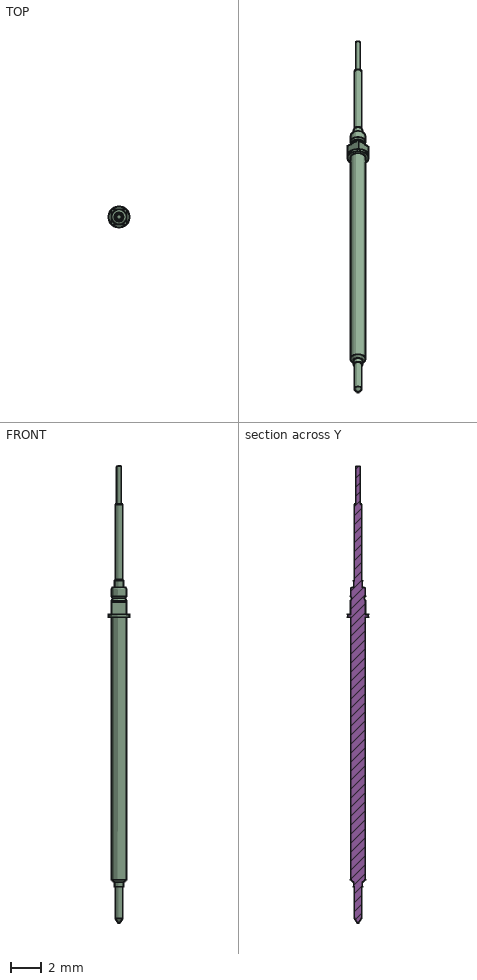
import cadquery as cq


tip_z = -20.2
barrel_end_z = -17.5
nose_end_z = -17.8
flange_top_z = 0.2
square_top_z = 1.0
groove_low_z = 1.1
groove_waist_z = 1.25
groove_high_z = 1.4
head_top_z = 2.0
collar_top_z = 2.5
rod_top_z = 7.5
pin_top_z = 10.0

tip_d = 0.1
plunger_d = 0.5
nose_d = 0.6
barrel_d = 1.0
flange_d = 1.4
groove_d = 0.85
collar_d = 0.6
rod_d = 0.5
pin_d = 0.33

square_side = barrel_d

tip_h = 0.3
barrel_chamfer = 0.17
head_round = 0.15
collar_chamfer_w = 0.05
collar_chamfer_h = 0.1
rod_chamfer = 0.05
pin_round = 0.1


def shaft(diameter, low, high):
    """Cylinder on the Z axis between two heights."""
    return cq.Workplane("XY").workplane(offset=low).circle(diameter / 2).extrude(high - low)


def plunger():
    """Contact plunger ending in a cone with a small flat."""
    shoulder_z = tip_z + tip_h
    cone = (
        cq.Workplane("XY").workplane(offset=tip_z).circle(tip_d / 2)
        .workplane(offset=tip_h).circle(plunger_d / 2).loft()
    )
    return cone.union(shaft(plunger_d, shoulder_z, nose_end_z))


def barrel():
    """Long barrel with a chamfered lower end and the nose below it."""
    tube = shaft(barrel_d, barrel_end_z, 0).faces("<Z").chamfer(barrel_chamfer)
    nose = shaft(nose_d, nose_end_z, barrel_end_z)
    return tube.union(nose)


def square_block():
    """Square block whose corners are trimmed to the flange diameter."""
    height = square_top_z - flange_top_z
    block = cq.Workplane("XY").workplane(offset=flange_top_z).rect(square_side, square_side).extrude(height)
    return block.intersect(shaft(flange_d, flange_top_z, square_top_z))


def crimped_head():
    """Round head with a V-shaped crimp groove and a rounded top."""
    head_r = barrel_d / 2
    profile = (
        cq.Workplane("XZ").moveTo(0, square_top_z)
        .lineTo(head_r, square_top_z)
        .lineTo(head_r, groove_low_z)
        .lineTo(groove_d / 2, groove_waist_z)
        .lineTo(head_r, groove_high_z)
        .lineTo(head_r, head_top_z)
        .lineTo(0, head_top_z)
        .close()
    )
    return profile.revolve(360, (0, 0, 0), (0, 1, 0)).faces(">Z").fillet(head_round)


def collar():
    """Short collar on top of the head."""
    body = shaft(collar_d, head_top_z, collar_top_z)
    return body.faces(">Z").edges().chamfer(collar_chamfer_h, collar_chamfer_w)


result = (
    plunger()
    .union(barrel())
    .union(shaft(flange_d, 0, flange_top_z))
    .union(square_block())
    .union(crimped_head())
    .union(collar())
    .union(shaft(rod_d, collar_top_z, rod_top_z).faces(">Z").chamfer(rod_chamfer))
    .union(shaft(pin_d, rod_top_z, pin_top_z).faces(">Z").fillet(pin_round))
)